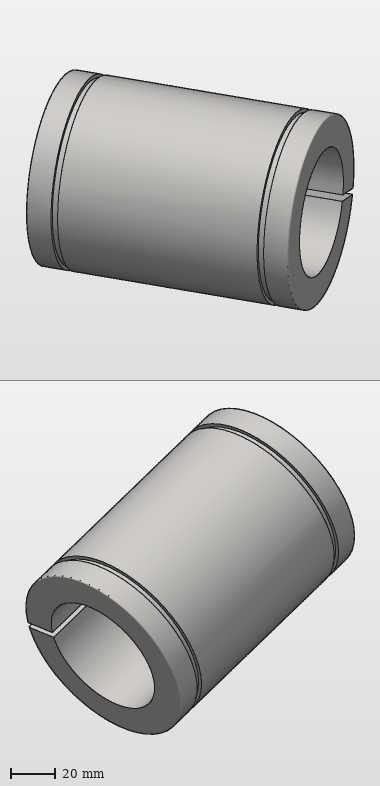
import cadquery as cq

length = 125.0
outer_diameter = 89.8
bore_diameter = 59.8
edge_radius = 0.6

groove_span = 101.2
groove_width = 3.1
groove_diameter = 86.2

slit_width = 3.0
slit_angle = 15.0


def sleeve_body():
    cylinder = cq.Workplane("YZ").circle(outer_diameter / 2).extrude(length / 2, both=True)
    bore = cq.Workplane("YZ").circle(bore_diameter / 2).extrude(length / 2, both=True)
    return cylinder.edges().fillet(edge_radius).cut(bore)


def ring_groove(center_x):
    return (
        cq.Workplane("YZ", origin=(center_x, 0, 0))
        .circle(outer_diameter / 2)
        .circle(groove_diameter / 2)
        .extrude(groove_width / 2, both=True)
    )


def wall_slit():
    slit = cq.Workplane("XY").box(length, outer_diameter, slit_width, centered=(True, False, True))
    return slit.rotate((0, 0, 0), (1, 0, 0), -slit_angle)


result = sleeve_body()
groove_offset = (groove_span - groove_width) / 2
for side in (-1, 1):
    result = result.cut(ring_groove(side * groove_offset))
result = result.cut(wall_slit())